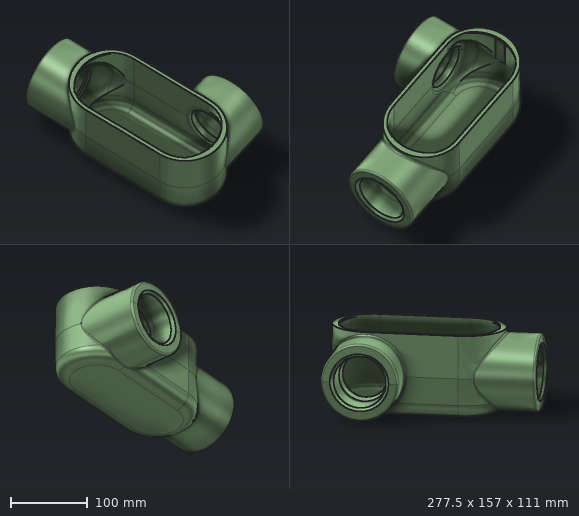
import cadquery as cq
import math


end_spacing = 120.5
body_radius = 55.5
wall = 5.5
height_above = 56.5
height_below = 54.5
draft = 1.0
base_fillet = 19.0
cavity_radius = body_radius - wall
cavity_fillet = 14.0

hub_reach = 101.5
hub_radius = 103.3 / 2
hub_edge_fillet = 2.8
hub_root_fillet = 2.8
surface_tolerance = 0.03
side_hub_offset = 1.5
side_hub_x = end_spacing + side_hub_offset

mouth_radius = 38.9
mouth_chamfer = 4.5
bore_end_radius = 32.8
bore_end_depth = 30.0
relief_length = 7.5
throat_start_radius = 33.3
throat_end_radius = 30.3

pocket_radius = cavity_radius - side_hub_offset
end_pocket_floor = 57.2
end_pocket_fillet = 23.3
end_lip_reach = 54.0
end_lip_radius = 5.5
side_pocket_floor = cavity_radius
side_pocket_fillet = 14.0
side_lip_reach = side_pocket_floor
side_lip_radius = 3.0

lip_thickness = 2.8
lip_edge_radius = 55.5
lip_edge_reach = 45.8
groove_width = 15.5


def obround(radius, inset=0.0):
    """Obround sketch on the parting plane; inset moves both end centres inwards."""
    length = end_spacing - 2 * inset + 2 * radius
    return cq.Workplane("XY").center(end_spacing / 2, 0).slot2D(length, 2 * radius)


def drafted_box(radius, rise, drop, bottom_fillet):
    """Obround block that narrows above and below the parting plane."""
    upper = obround(radius).extrude(rise, taper=draft)
    lower = obround(radius).extrude(drop, taper=draft).mirror("XY")
    lower = lower.faces("<Z").edges().fillet(bottom_fillet)
    return upper.union(lower)


def to_side_hub(shape):
    """Move a shape built along -X from the origin onto the +Y hub."""
    return shape.rotate((0, 0, 0), (0, 0, 1), -90).translate((side_hub_x, 0, 0))


def revolved_along_x(profile):
    return profile.close().revolve(360, (0, 0, 0), (1, 0, 0))


def hub():
    """Solid hub; its face leans back by the draft on both sides of the parting plane."""
    lean = hub_radius * math.tan(math.radians(draft))
    side = (
        cq.Workplane("XZ")
        .moveTo(0, -hub_radius)
        .lineTo(-hub_reach + lean, -hub_radius)
        .lineTo(-hub_reach, 0)
        .lineTo(-hub_reach + lean, hub_radius)
        .lineTo(0, hub_radius)
        .close()
        .extrude(hub_radius, both=True)
    )
    blank = cq.Workplane("YZ").circle(hub_radius).extrude(-hub_reach).intersect(side)
    rim = blank.edges("%ELLIPSE")
    return rim.fillet(hub_edge_fillet)


def hub_bore(lip_reach, lip_radius):
    """Chamfered mouth, slightly tapering bore, relief flare and round-lipped throat."""
    bore_end = -hub_reach + bore_end_depth
    throat_start = bore_end + relief_length
    return revolved_along_x(
        cq.Workplane("XY")
        .moveTo(-hub_reach, 0)
        .lineTo(-hub_reach, mouth_radius)
        .lineTo(-hub_reach + mouth_chamfer, mouth_radius - mouth_chamfer)
        .lineTo(bore_end, bore_end_radius)
        .lineTo(throat_start, throat_start_radius)
        .lineTo(-lip_reach - lip_radius, throat_end_radius)
        .radiusArc((-lip_reach, throat_end_radius + lip_radius), -lip_radius)
        .lineTo(-lip_reach, 0)
    )


def hub_pocket(floor_reach, fillet):
    """Round-cornered pocket that opens the cavity out behind a hub."""
    return revolved_along_x(
        cq.Workplane("XY")
        .lineTo(-floor_reach, 0)
        .lineTo(-floor_reach, pocket_radius - fillet)
        .radiusArc((-floor_reach + fillet, pocket_radius), fillet)
        .lineTo(0, pocket_radius)
    )


def root_edges(block, axis_x, axis_y, direction):
    """Curved edges where a hub meets the box; the hub axis starts at (axis_x, axis_y)."""
    start = cq.Vector(axis_x, axis_y, 0)
    found = []
    for edge in block.edges("not %LINE").vals():
        points = [edge.positionAt(t) - start for t in (0.2, 0.5, 0.8)]
        on_hub = all(abs(p.cross(direction).Length - hub_radius) < surface_tolerance for p in points)
        reach = points[1].dot(direction)
        if on_hub and 0 < reach < body_radius + hub_root_fillet:
            found.append(edge)
    return found


def lips():
    """Crescent ledges that narrow the opening at both rounded ends."""
    opening = obround(lip_edge_radius, lip_edge_radius - lip_edge_reach)
    ring = obround(cavity_radius).extrude(lip_thickness)
    ring = ring.cut(opening.extrude(lip_thickness))
    return ring.translate((0, 0, height_above - lip_thickness))


def lip_groove():
    """Shallow flat-bottomed groove in the +X end wall, under the lip."""
    return cq.Workplane("XY").box(
        cavity_radius, groove_width, height_above - lip_thickness, centered=(False, True, False)
    ).translate((end_spacing, 0, 0))


body = drafted_box(body_radius, height_above, height_below, base_fillet)
body = body.union(hub()).union(to_side_hub(hub()))
end_roots = root_edges(body, 0, 0, cq.Vector(-1, 0, 0))
side_roots = root_edges(body, side_hub_x, 0, cq.Vector(0, 1, 0))
body = body.newObject(end_roots + side_roots).fillet(hub_root_fillet)

cavity = drafted_box(cavity_radius, height_above, height_below - wall, cavity_fillet)
cavity = cavity.union(lip_groove()).cut(lips())
body = body.cut(cavity)
body = body.cut(hub_pocket(end_pocket_floor, end_pocket_fillet))
body = body.cut(hub_bore(end_lip_reach, end_lip_radius))
body = body.cut(to_side_hub(hub_pocket(side_pocket_floor, side_pocket_fillet)))
body = body.cut(to_side_hub(hub_bore(side_lip_reach, side_lip_radius)))

result = body